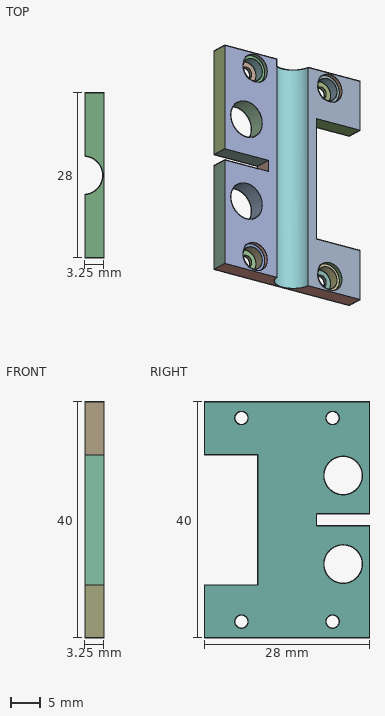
import cadquery as cq

thickness = 3.25
width = 28.0
height = 40.0

channel_diameter = 6.5
channel_floor = 0.25
channel_center_x = thickness - channel_floor - channel_diameter / 2

window_depth = 9.0
window_height = 22.0

slot_depth = 9.0
slot_height = 2.0

large_hole_diameter = 6.5
large_hole_y = 9.5
large_hole_spacing = 15.0

screw_hole_diameter = 2.2
screw_seat_diameter = 4.0
screw_recess_diameter = 5.0
screw_seat_depth = 2.65
screw_recess_depth = 0.75
screw_y_positions = (7.7, -7.7)
screw_spacing_z = 34.5


def box_cut(y_min, depth, cut_height):
    """Box through the plate, centred on Z = 0 and starting at y_min."""
    return (
        cq.Workplane("XY")
        .box(thickness, depth, cut_height, centered=(False, False, True))
        .translate((0, y_min, 0))
    )


def round_cut(diameter, depth, y, z):
    """Cylinder sunk into the plate from the grooved face."""
    start = cq.Vector(0, y, z)
    return cq.Workplane(cq.Solid.makeCylinder(diameter / 2, depth, start, cq.Vector(1, 0, 0)))


result = cq.Workplane("XY").box(thickness, width, height, centered=(False, True, True))

channel = (
    cq.Workplane("XY", origin=(channel_center_x, 0, -height / 2))
    .circle(channel_diameter / 2)
    .extrude(height)
)
result = result.cut(channel)

result = result.cut(box_cut(-width / 2, window_depth, window_height))
result = result.cut(box_cut(width / 2 - slot_depth, slot_depth, slot_height))

for side in (-1, 1):
    large_hole_z = side * large_hole_spacing / 2
    result = result.cut(round_cut(large_hole_diameter, thickness, large_hole_y, large_hole_z))

    screw_z = side * screw_spacing_z / 2
    for screw_y in screw_y_positions:
        result = result.cut(round_cut(screw_hole_diameter, thickness, screw_y, screw_z))
        result = result.cut(round_cut(screw_seat_diameter, screw_seat_depth, screw_y, screw_z))
        result = result.cut(round_cut(screw_recess_diameter, screw_recess_depth, screw_y, screw_z))